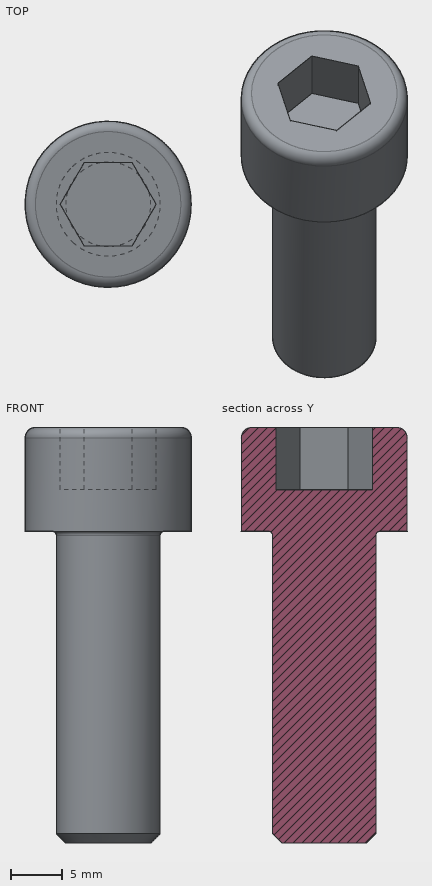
import cadquery as cq

shank_diameter = 10.0
shank_length = 30.0
head_diameter = 16.0
head_height = 10.0
head_edge_radius = 1.0
under_head_radius = 0.4
tip_chamfer = 0.92
socket_across_flats = 8.0
socket_depth = 6.0

socket_across_corners = socket_across_flats * 2 / 3**0.5


def make_shank():
    """Cylindrical shank hanging below Z = 0 with a chamfered tip."""
    shank = cq.Workplane("XY").circle(shank_diameter / 2).extrude(-shank_length)
    return shank.faces("<Z").chamfer(tip_chamfer)


def make_head():
    """Cylindrical head standing on Z = 0 with a rounded top edge."""
    head = cq.Workplane("XY").circle(head_diameter / 2).extrude(head_height)
    return head.faces(">Z").edges().fillet(head_edge_radius)


def make_under_head_fillet():
    """Concave ring that blends the shank into the underside of the head."""
    shank_radius = shank_diameter / 2
    outer_radius = shank_radius + under_head_radius
    arc_offset = under_head_radius * 0.5**0.5
    profile = (
        cq.Workplane("XZ")
        .moveTo(0, 0)
        .lineTo(outer_radius, 0)
        .threePointArc(
            (outer_radius - arc_offset, arc_offset - under_head_radius),
            (shank_radius, -under_head_radius),
        )
        .lineTo(0, -under_head_radius)
        .close()
    )
    return profile.revolve(360, (0, 0, 0), (0, 1, 0))


def make_socket():
    """Hexagonal drive pocket with two corners on the X axis."""
    mouth = cq.Workplane("XY").workplane(offset=head_height)
    return mouth.polygon(6, socket_across_corners).extrude(-socket_depth)


screw = make_shank().union(make_under_head_fillet()).union(make_head())
result = screw.cut(make_socket())